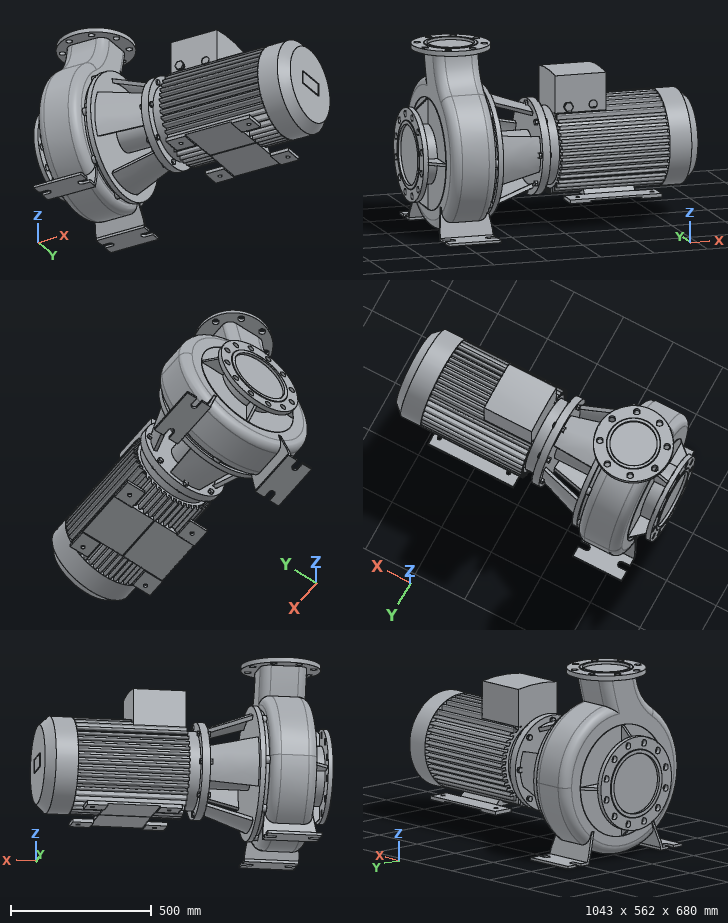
import cadquery as cq
import math


SUCTION_FACE_X = -160.0
CASING_HALF_WIDTH = 84.0
BACK_RING_END_X = 99.0
LANTERN_PLATE_END_X = 118.0
ADAPTER_START_X = 287.0
ADAPTER_END_X = 316.0
STATOR_START_X = 360.5
STATOR_END_X = 764.5
COWL_TAPER_X = 845.5
COWL_END_X = 880.0
MOTOR_END_X = 883.0

FLANGE_THICKNESS = 20.0
FLANGE_HOLE_D = 23.0
FACE_RING_HEIGHT = 2.0
FACE_RING_TAPER = 45.0
BORE_DEPTH = 10.0
SUCTION_FLANGE_D = 340.0
SUCTION_FACE_RING_D = 249.0
SUCTION_BORE_D = 219.1
SUCTION_BOLT_CIRCLE_D = 295.0
SUCTION_HOLES = 12
DISCHARGE_FACE_Z = 400.0
DISCHARGE_FLANGE_D = 285.0
DISCHARGE_FACE_RING_D = 193.0
DISCHARGE_BORE_D = 168.3
DISCHARGE_BOLT_CIRCLE_D = 240.0
DISCHARGE_HOLES = 8

VOLUTE_R = 281.0
VOLUTE_CENTRE_Y = -3.0
VOLUTE_CENTRE_Z = 9.5
TONGUE_ARC_R = 269.0
CASING_EDGE_R = 34.0
NECK_BEND_Z = 390.0
TONGUE_Y = 58.0
TONGUE_Z = 274.0
NECK_ROOT_Y = 46.0
NECK_ROOT_Z = 236.0
EDGE_TOLERANCE = 0.001
FRONT_DISC_D = 405.7
FRONT_DISC_HEIGHT = 2.0
GUSSET_THICKNESS = 10.0
GUSSET_FLANGE_R = 156.0

BACK_RING_D = 456.0
LANTERN_PLATE_D = 484.0
BOSS_D = 30.0
BOSS_COUNT = 8
LANTERN_R_START = 213.0
LANTERN_R_END = 152.0
LANTERN_WALL = 16.0
LEG_SPAN_ANGLE = 50.0
LEG_COUNT = 4
BEARING_HOUSING_D = 120.0
ADAPTER_D = 350.0

BASE_Z = -280.0
FOOT_PLATE_THICKNESS = 10.0
FOOT_OUTER_Y = 275.0
FOOT_BEND_Y = 172.0
FOOT_TOP_Z = -166.0
FOOT_TOP_Y = 138.0
FOOT_LEG_WIDTH = 10.5
FOOT_HALF_LENGTH = 98.5
FOOT_TOP_HALF_LENGTH = 86.0
FOOT_TAPER_Z = -250.0
SLOT_WIDTH = 23.0
SLOT_DEPTH = 41.0
SLOT_Y = 223.0

BOLT_COUNT = 8
BOLT_CIRCLE_R = 158.0
BOLT_SHANK_D = 10.0
BOLT_HEX_FLATS = 18.0
BOLT_HEAD_HEIGHT = 10.0
BOLT_NUT_HEIGHT = 6.0

MOTOR_NECK_D = 284.0
MOTOR_D = 349.0
CORE_D = 310.0
FIN_WIDTH = 10.0
FIN_PITCH = 22.0
FINS_EACH_SIDE_OF_CENTRE = 5
END_PLATE_WIDTH = 112.0
END_PLATE_BOTTOM_Z = -19.0
END_PLATE_TOP_Z = 29.0

BOX_LENGTH = 191.0
BOX_HALF_WIDTH = 94.0
BOX_BOTTOM_Z = 134.0
BOX_SIDE_TOP_Z = 271.0
BOX_CROWN_Z = 278.5
GLAND_Z = 158.0
GLAND_X = 406.0
GLAND_NECK_D = 26.0
GLAND_NECK_LENGTH = 8.0
GLAND_HEX_FLATS = 30.0
GLAND_HEX_LENGTH = 10.0
KNOCKOUT_X = 503.0
KNOCKOUT_D = 30.0
KNOCKOUT_DEPTH = 2.0

RAIL_START_X = 390.0
RAIL_END_X = 733.0
RAIL_INNER_Y = 100.0
RAIL_OUTER_Y = 177.0
RAIL_TOP_Z = -166.0
RAIL_BOTTOM_Z = -180.0
RAIL_RELIEF_HEIGHT = 6.0
WEB_START_X = 468.0
WEB_END_X = 658.0
WEB_SHOULDER_Y = 80.0
WEB_SHOULDER_Z = -145.0
RAIL_HOLE_D = 14.0
RAIL_HOLE_START_INSET = 40.0
RAIL_HOLE_END_INSET = 25.0


def disc(start_x, end_x, diameter):
    """Cylinder on the shaft axis."""
    return cq.Workplane("YZ").workplane(offset=start_x).circle(diameter / 2).extrude(end_x - start_x)


def box_between(x0, x1, y0, y1, z0, z1):
    """Axis-aligned block given by its limits."""
    return cq.Workplane("XY").box(x1 - x0, y1 - y0, z1 - z0, centered=False).translate((x0, y0, z0))


def pipe_flange(diameter, ring_d, hole_circle_d, hole_count):
    """Drilled flange with a raised face ring; the ring's face is at Z = 0 and faces up."""
    plate_height = FLANGE_THICKNESS - FACE_RING_HEIGHT
    first_hole_angle = 180 / hole_count
    flange = cq.Workplane("XY").workplane(offset=-FLANGE_THICKNESS).circle(diameter / 2).extrude(plate_height)
    holes = (
        cq.Workplane("XY")
        .workplane(offset=-FLANGE_THICKNESS)
        .polarArray(hole_circle_d / 2, first_hole_angle, 360, hole_count)
        .circle(FLANGE_HOLE_D / 2)
        .extrude(plate_height)
    )
    ring = (
        cq.Workplane("XY")
        .workplane(offset=-FACE_RING_HEIGHT)
        .circle(ring_d / 2)
        .extrude(FACE_RING_HEIGHT, taper=FACE_RING_TAPER)
    )
    return flange.cut(holes).union(ring)


def neck_bend():
    """Radius and centre of the bend that leads from the vertical neck tangentially onto the volute."""
    side = CASING_HALF_WIDTH + VOLUTE_CENTRE_Y
    rise = NECK_BEND_Z - VOLUTE_CENTRE_Z
    radius = (side**2 + rise**2 - VOLUTE_R**2) / (2 * (VOLUTE_R - side))
    return radius, -CASING_HALF_WIDTH - radius


def neck_tangent_angle():
    """Angle of the line from the neck bend's centre to the volute's centre, below the horizontal."""
    _, bend_y = neck_bend()
    return -math.atan2(NECK_BEND_Z - VOLUTE_CENTRE_Z, VOLUTE_CENTRE_Y - bend_y)


def round_side_edges(casing_part):
    """Round the curved edges on both sides of a casing part."""
    side_edges = [
        edge
        for edge in casing_part.edges("%CIRCLE").vals()
        if abs(abs(edge.Center().x) - CASING_HALF_WIDTH) < EDGE_TOLERANCE
    ]
    return casing_part.newObject(side_edges).fillet(CASING_EDGE_R)


def volute():
    """Volute body: a main round and, on the tongue side, a smaller arc that continues it."""
    left_y = VOLUTE_CENTRE_Y + VOLUTE_R
    tongue_centre_y = left_y - TONGUE_ARC_R
    tongue_middle = TONGUE_ARC_R * math.sqrt(0.5)
    start_angle = neck_tangent_angle() + math.pi
    middle_angle = (start_angle + 2 * math.pi) / 2

    def on_round(angle):
        return (VOLUTE_CENTRE_Y + VOLUTE_R * math.cos(angle), VOLUTE_CENTRE_Z + VOLUTE_R * math.sin(angle))

    body = (
        cq.Workplane("YZ")
        .workplane(offset=-CASING_HALF_WIDTH)
        .moveTo(*on_round(start_angle))
        .threePointArc(on_round(middle_angle), (left_y, VOLUTE_CENTRE_Z))
        .threePointArc(
            (tongue_centre_y + tongue_middle, VOLUTE_CENTRE_Z + tongue_middle),
            (tongue_centre_y, VOLUTE_CENTRE_Z + TONGUE_ARC_R),
        )
        .lineTo(tongue_centre_y, VOLUTE_CENTRE_Z)
        .lineTo(VOLUTE_CENTRE_Y, VOLUTE_CENTRE_Z)
        .close()
        .extrude(2 * CASING_HALF_WIDTH)
    )
    return round_side_edges(body)


def discharge_neck():
    """Curved neck between the volute and the discharge flange."""
    half = CASING_HALF_WIDTH
    top_z = DISCHARGE_FACE_Z - FLANGE_THICKNESS
    tongue_centre_y = VOLUTE_CENTRE_Y + VOLUTE_R - TONGUE_ARC_R
    bend_r, bend_y = neck_bend()
    start_angle = math.asin((top_z - NECK_BEND_Z) / bend_r)
    end_angle = neck_tangent_angle()

    def on_bend(angle):
        return (bend_y + bend_r * math.cos(angle), NECK_BEND_Z + bend_r * math.sin(angle))

    neck = (
        cq.Workplane("YZ")
        .workplane(offset=-half)
        .moveTo(*on_bend(start_angle))
        .threePointArc(on_bend((start_angle + end_angle) / 2), on_bend(end_angle))
        .lineTo(VOLUTE_CENTRE_Y, VOLUTE_CENTRE_Z)
        .lineTo(tongue_centre_y, VOLUTE_CENTRE_Z)
        .lineTo(tongue_centre_y, NECK_ROOT_Z)
        .lineTo(NECK_ROOT_Y, NECK_ROOT_Z)
        .threePointArc((TONGUE_Y, TONGUE_Z), (half, top_z))
        .close()
        .extrude(2 * half)
    )
    return round_side_edges(neck)


def discharge_flange():
    return pipe_flange(
        DISCHARGE_FLANGE_D, DISCHARGE_FACE_RING_D, DISCHARGE_BOLT_CIRCLE_D, DISCHARGE_HOLES
    ).translate((0, 0, DISCHARGE_FACE_Z))


def discharge_bore():
    floor_z = DISCHARGE_FACE_Z - BORE_DEPTH
    return cq.Workplane("XY").workplane(offset=floor_z).circle(DISCHARGE_BORE_D / 2).extrude(BORE_DEPTH)


def suction_side():
    """Suction flange, its short pipe, the front disc of the casing and four gussets."""
    flange = (
        pipe_flange(SUCTION_FLANGE_D, SUCTION_FACE_RING_D, SUCTION_BOLT_CIRCLE_D, SUCTION_HOLES)
        .rotate((0, 0, 0), (0, 1, 0), -90)
        .translate((SUCTION_FACE_X, 0, 0))
    )
    flange_back_x = SUCTION_FACE_X + FLANGE_THICKNESS
    disc_x = -CASING_HALF_WIDTH - FRONT_DISC_HEIGHT
    body = flange.union(disc(flange_back_x, -CASING_HALF_WIDTH, SUCTION_BORE_D))
    body = body.union(disc(disc_x, -CASING_HALF_WIDTH, FRONT_DISC_D))
    gusset = (
        cq.Workplane("XZ")
        .workplane(offset=-GUSSET_THICKNESS / 2)
        .polyline([(flange_back_x, 0), (flange_back_x, GUSSET_FLANGE_R), (disc_x, FRONT_DISC_D / 2), (disc_x, 0)])
        .close()
        .extrude(GUSSET_THICKNESS)
    )
    for quarter in range(4):
        body = body.union(gusset.rotate((0, 0, 0), (1, 0, 0), 90 * quarter))
    return body


def suction_bore():
    return disc(SUCTION_FACE_X, SUCTION_FACE_X + BORE_DEPTH, SUCTION_BORE_D)


def back_ring():
    """Ring behind the casing with half-round bosses on its rim."""
    ring = disc(CASING_HALF_WIDTH, BACK_RING_END_X, BACK_RING_D)
    bosses = (
        cq.Workplane("YZ")
        .workplane(offset=CASING_HALF_WIDTH)
        .polarArray(BACK_RING_D / 2, 0, 360, BOSS_COUNT)
        .circle(BOSS_D / 2)
        .extrude(BACK_RING_END_X - CASING_HALF_WIDTH)
    )
    return ring.union(bosses)


def lantern():
    """Mounting plate, four curved legs, bearing housing and adapter flange."""
    start_x = LANTERN_PLATE_END_X
    end_x = ADAPTER_START_X
    leg = (
        cq.Workplane("XY")
        .polyline(
            [
                (start_x, LANTERN_R_START),
                (end_x, LANTERN_R_END),
                (end_x, LANTERN_R_END - LANTERN_WALL),
                (start_x, LANTERN_R_START - LANTERN_WALL),
            ]
        )
        .close()
        .revolve(LEG_SPAN_ANGLE, (0, 0, 0), (1, 0, 0))
        .rotate((0, 0, 0), (1, 0, 0), -LEG_SPAN_ANGLE / 2)
    )
    body = disc(BACK_RING_END_X, start_x, LANTERN_PLATE_D)
    body = body.union(disc(start_x, end_x, BEARING_HOUSING_D))
    body = body.union(disc(end_x, ADAPTER_END_X, ADAPTER_D))
    for number in range(LEG_COUNT):
        body = body.union(leg.rotate((0, 0, 0), (1, 0, 0), 360 / LEG_COUNT * number))
    return body


def pump_foot():
    """Bent foot on the +Y side: slotted base plate and a leaning leg that tapers upward."""
    plate_top_z = BASE_Z + FOOT_PLATE_THICKNESS
    plate = box_between(
        -FOOT_HALF_LENGTH, FOOT_HALF_LENGTH, FOOT_BEND_Y, FOOT_OUTER_Y, BASE_Z, plate_top_z
    )
    for end in (-1, 1):
        slot = (
            cq.Workplane("XY")
            .workplane(offset=BASE_Z)
            .center(end * FOOT_HALF_LENGTH, SLOT_Y)
            .slot2D(2 * SLOT_DEPTH, SLOT_WIDTH)
            .extrude(FOOT_PLATE_THICKNESS)
        )
        plate = plate.cut(slot)
    leg = (
        cq.Workplane("YZ")
        .workplane(offset=-FOOT_HALF_LENGTH)
        .polyline(
            [
                (FOOT_BEND_Y, BASE_Z),
                (FOOT_BEND_Y, plate_top_z),
                (FOOT_TOP_Y, FOOT_TOP_Z),
                (FOOT_TOP_Y + FOOT_LEG_WIDTH, FOOT_TOP_Z),
                (FOOT_BEND_Y + FOOT_LEG_WIDTH, plate_top_z),
                (FOOT_BEND_Y + FOOT_LEG_WIDTH, BASE_Z),
            ]
        )
        .close()
        .extrude(2 * FOOT_HALF_LENGTH)
    )
    taper = (
        cq.Workplane("XZ")
        .polyline(
            [
                (-FOOT_HALF_LENGTH, BASE_Z),
                (-FOOT_HALF_LENGTH, FOOT_TAPER_Z),
                (-FOOT_TOP_HALF_LENGTH, FOOT_TOP_Z),
                (FOOT_TOP_HALF_LENGTH, FOOT_TOP_Z),
                (FOOT_HALF_LENGTH, FOOT_TAPER_Z),
                (FOOT_HALF_LENGTH, BASE_Z),
            ]
        )
        .close()
        .extrude(-FOOT_OUTER_Y)
    )
    return plate.union(leg.intersect(taper))


def bolt_points(start_x):
    """Workplane across the shaft with one point for each flange bolt."""
    return cq.Workplane("YZ").workplane(offset=start_x).polarArray(BOLT_CIRCLE_R, 0, 360, BOLT_COUNT)


def pump():
    body = volute().union(discharge_neck())
    body = body.union(discharge_flange()).cut(discharge_bore())
    body = body.union(suction_side()).cut(suction_bore())
    body = body.union(back_ring()).union(lantern())
    foot = pump_foot()
    body = body.union(foot).union(foot.mirror("XZ"))
    bolt_holes = bolt_points(ADAPTER_START_X).circle(BOLT_SHANK_D / 2).extrude(ADAPTER_END_X - ADAPTER_START_X)
    return body.cut(bolt_holes)


def flange_bolt():
    """Bolt through the adapter flange with a hexagon head in front and a nut behind, on the shaft axis."""
    hex_corners = BOLT_HEX_FLATS / math.cos(math.radians(30))
    head = (
        cq.Workplane("YZ")
        .workplane(offset=ADAPTER_START_X - BOLT_HEAD_HEIGHT)
        .polygon(6, hex_corners)
        .extrude(BOLT_HEAD_HEIGHT)
    )
    shank = disc(ADAPTER_START_X, ADAPTER_END_X, BOLT_SHANK_D)
    nut = cq.Workplane("YZ").workplane(offset=ADAPTER_END_X).polygon(6, hex_corners).extrude(BOLT_NUT_HEIGHT)
    return head.union(shank).union(nut).rotate((0, 0, 0), (1, 0, 0), 90)


def cooling_fin(offset):
    """Upright fin with a rounded tip, at the given sideways distance from the shaft axis."""
    half = FIN_WIDTH / 2
    tip_centre_z = math.sqrt((MOTOR_D / 2 - half) ** 2 - offset**2)
    return (
        cq.Workplane("YZ")
        .workplane(offset=STATOR_START_X)
        .moveTo(offset - half, 0)
        .lineTo(offset - half, tip_centre_z)
        .threePointArc((offset, tip_centre_z + half), (offset + half, tip_centre_z))
        .lineTo(offset + half, 0)
        .close()
        .extrude(STATOR_END_X - STATOR_START_X)
    )


def motor_frame():
    """Neck, finned stator, fan cowl and the small plate on its end."""
    frame = disc(ADAPTER_END_X, STATOR_START_X, MOTOR_NECK_D)
    frame = frame.union(disc(STATOR_START_X, STATOR_END_X, CORE_D))
    for number in range(-FINS_EACH_SIDE_OF_CENTRE, FINS_EACH_SIDE_OF_CENTRE + 1):
        fin = cooling_fin(number * FIN_PITCH)
        for quarter in range(4):
            frame = frame.union(fin.rotate((0, 0, 0), (1, 0, 0), 90 * quarter))
    cowl = (
        cq.Workplane("XY")
        .polyline(
            [
                (STATOR_END_X, 0),
                (STATOR_END_X, MOTOR_D / 2),
                (COWL_TAPER_X, MOTOR_D / 2),
                (COWL_END_X, MOTOR_NECK_D / 2),
                (COWL_END_X, 0),
            ]
        )
        .close()
        .revolve(360, (0, 0, 0), (1, 0, 0))
    )
    end_plate = box_between(
        COWL_END_X, MOTOR_END_X,
        -END_PLATE_WIDTH / 2, END_PLATE_WIDTH / 2,
        END_PLATE_BOTTOM_Z, END_PLATE_TOP_Z,
    )
    return frame.union(cowl).union(end_plate)


def terminal_box():
    """Terminal box with a crowned lid, a cable gland and a shallow knockout on its -Y side."""
    box = (
        cq.Workplane("YZ")
        .workplane(offset=STATOR_START_X)
        .moveTo(-BOX_HALF_WIDTH, BOX_BOTTOM_Z)
        .lineTo(-BOX_HALF_WIDTH, BOX_SIDE_TOP_Z)
        .threePointArc((0, BOX_CROWN_Z), (BOX_HALF_WIDTH, BOX_SIDE_TOP_Z))
        .lineTo(BOX_HALF_WIDTH, BOX_BOTTOM_Z)
        .close()
        .extrude(BOX_LENGTH)
    )
    side = cq.Workplane("XZ").workplane(offset=BOX_HALF_WIDTH)
    gland_neck = side.center(GLAND_X, GLAND_Z).circle(GLAND_NECK_D / 2).extrude(GLAND_NECK_LENGTH)
    gland_hex = (
        side.workplane(offset=GLAND_NECK_LENGTH)
        .center(GLAND_X, GLAND_Z)
        .polygon(6, GLAND_HEX_FLATS / math.cos(math.radians(30)))
        .extrude(GLAND_HEX_LENGTH)
    )
    knockout = side.center(KNOCKOUT_X, GLAND_Z).circle(KNOCKOUT_D / 2).extrude(-KNOCKOUT_DEPTH)
    return box.cut(knockout).union(gland_neck).union(gland_hex)


def motor_foot():
    """Foot on the +Y side: drilled rail, relieved underneath, on a web that leans out from the stator."""
    rail = box_between(
        RAIL_START_X, RAIL_END_X, RAIL_INNER_Y, RAIL_OUTER_Y, RAIL_BOTTOM_Z, RAIL_TOP_Z
    )
    relief_top_z = RAIL_BOTTOM_Z + RAIL_RELIEF_HEIGHT
    relief = box_between(WEB_START_X, WEB_END_X, RAIL_INNER_Y, RAIL_OUTER_Y, RAIL_BOTTOM_Z, relief_top_z)
    holes = (
        cq.Workplane("XY")
        .workplane(offset=RAIL_BOTTOM_Z)
        .pushPoints(
            [
                (x, (RAIL_INNER_Y + RAIL_OUTER_Y) / 2)
                for x in (RAIL_START_X + RAIL_HOLE_START_INSET, RAIL_END_X - RAIL_HOLE_END_INSET)
            ]
        )
        .circle(RAIL_HOLE_D / 2)
        .extrude(RAIL_TOP_Z - RAIL_BOTTOM_Z)
    )
    web = (
        cq.Workplane("YZ")
        .workplane(offset=WEB_START_X)
        .polyline(
            [
                (0, 0),
                (0, relief_top_z),
                (RAIL_INNER_Y, relief_top_z),
                (RAIL_INNER_Y, RAIL_TOP_Z),
                (WEB_SHOULDER_Y, WEB_SHOULDER_Z),
                (WEB_SHOULDER_Y, 0),
            ]
        )
        .close()
        .extrude(WEB_END_X - WEB_START_X)
    )
    return rail.cut(relief).cut(holes).union(web)


def motor():
    foot = motor_foot()
    return motor_frame().union(terminal_box()).union(foot).union(foot.mirror("XZ"))


def flange_bolts():
    bolt = flange_bolt().translate((0, 0, BOLT_CIRCLE_R))
    return [
        bolt.rotate((0, 0, 0), (1, 0, 0), 360 / BOLT_COUNT * number).val()
        for number in range(BOLT_COUNT)
    ]


result = cq.Compound.makeCompound([pump().val(), motor().val(), *flange_bolts()])